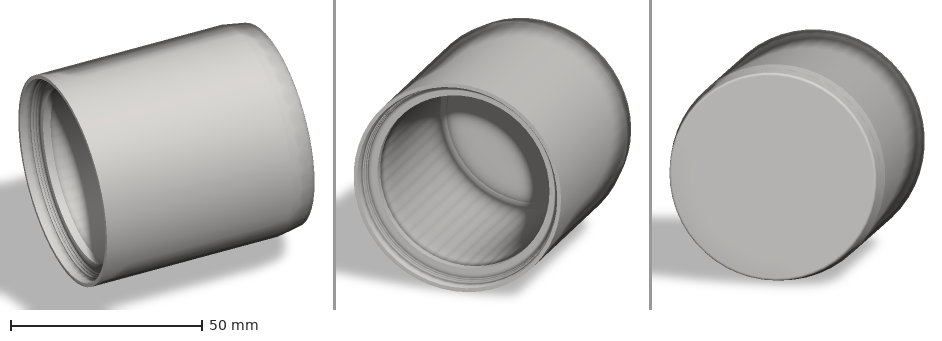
import cadquery as cq

length = 60.0
front_y = -length / 2
rear_y = length / 2

outer_diameter = 57.3
outer_radius = outer_diameter / 2
taper_length = 6.9
nose_radius = 27.5
nose_edge_radius = 0.7
floor_thickness = 3.0
floor_recess_radius = 22.7
floor_recess_depth = 0.6
chamber_radius = 24.3

mouth_radius = 27.6
seat_radius = 27.3
lead_in_depth = 1.4

ring_start = 2.8
ring_thickness = 0.7
ring_count = 2
ring_outer_radius = 27.9
first_ring_inner_radius = 26.9
ring_inner_step = 0.25

cover_face_depth = 4.9
cover_seat_depth = 7.1
cover_bore_radius = 23.75
cover_lip_radius = 26.35

ring_stack_end = ring_start + ring_count * ring_thickness


def revolved(profile):
    """Turn a closed (radius, y) outline about the Y axis."""
    return cq.Workplane("XY").polyline(profile).close().revolve(360, (0, 0, 0), (0, 1, 0))


def disc(radius, start, depth):
    """Cylinder that begins `start` behind the open end and runs toward +Y."""
    return cq.Workplane("XZ", origin=(0, front_y + start, 0)).circle(radius).extrude(-depth)


def make_housing():
    """Cup with a tapered, rounded closed end and a stepped mouth."""
    shell = revolved([
        (0, front_y),
        (outer_radius, front_y),
        (outer_radius, rear_y - taper_length),
        (nose_radius, rear_y),
        (0, rear_y),
    ]).faces(">Y").edges().fillet(nose_edge_radius)
    lead_in = revolved([
        (0, front_y),
        (mouth_radius, front_y),
        (seat_radius, front_y + lead_in_depth),
        (0, front_y + lead_in_depth),
    ])
    floor_depth = length - floor_thickness
    cover_seat = disc(seat_radius, 0, cover_seat_depth)
    ring_groove = disc(ring_outer_radius, ring_start, ring_stack_end - ring_start)
    chamber = disc(chamber_radius, 0, floor_depth)
    floor_recess = disc(floor_recess_radius, floor_depth, floor_recess_depth)
    return shell.cut(lead_in).cut(cover_seat).cut(ring_groove).cut(chamber).cut(floor_recess)


def make_cover():
    """Flat ring with a raised lip around its front face."""
    body = disc(seat_radius, ring_stack_end, cover_seat_depth - ring_stack_end)
    face_recess = disc(cover_lip_radius, ring_stack_end, cover_face_depth - ring_stack_end)
    bore = disc(cover_bore_radius, ring_stack_end, cover_seat_depth - ring_stack_end)
    return body.cut(face_recess).cut(bore)


def make_retaining_ring(index):
    """Flat ring; each one further in has a slightly smaller opening."""
    start = ring_start + index * ring_thickness
    inner_radius = first_ring_inner_radius - index * ring_inner_step
    return disc(ring_outer_radius, start, ring_thickness).cut(disc(inner_radius, start, ring_thickness))


housing = make_housing()
cover = make_cover()
retaining_rings = [make_retaining_ring(index) for index in range(ring_count)]

result = cq.Compound.makeCompound([
    housing.val(),
    cover.val(),
    *[ring.val() for ring in retaining_rings],
])